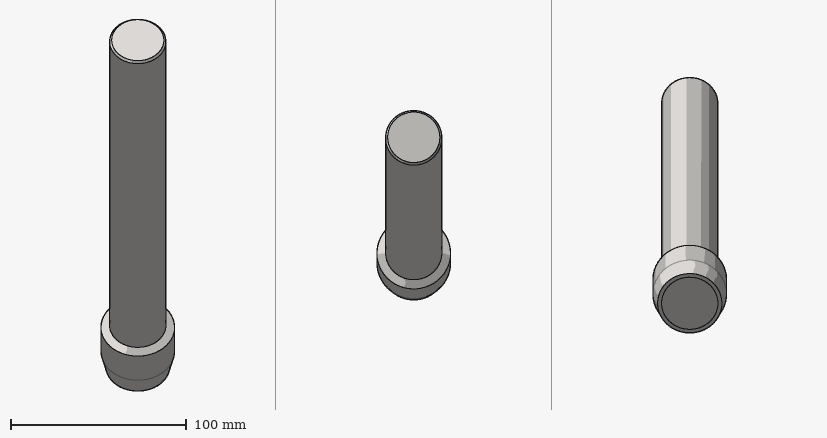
import cadquery as cq

TOTAL_HEIGHT = 300.0
ROD_DIAMETER = 32.0
ROD_TOP_CHAMFER = 1.2

COLLAR_DIAMETER = 42.0
COLLAR_RIM_HEIGHT = 35.7
COLLAR_HEIGHT = 37.5
TAPER_HEIGHT = 13.5
TAPER_END_DIAMETER = 36.5


def make_rod():
    """Plain round rod with a chamfered top edge, running the full height."""
    rod = cq.Workplane("XY").circle(ROD_DIAMETER / 2).extrude(TOTAL_HEIGHT)
    return rod.faces(">Z").chamfer(ROD_TOP_CHAMFER)


def make_collar():
    """Sleeve around the rod: tapered at the bottom, its top sloping up to the bore."""
    bore_radius = ROD_DIAMETER / 2
    outer_radius = COLLAR_DIAMETER / 2
    profile = (
        cq.Workplane("XZ")
        .moveTo(bore_radius, 0)
        .lineTo(TAPER_END_DIAMETER / 2, 0)
        .lineTo(outer_radius, TAPER_HEIGHT)
        .lineTo(outer_radius, COLLAR_RIM_HEIGHT)
        .lineTo(bore_radius, COLLAR_HEIGHT)
        .close()
    )
    return profile.revolve(360, (0, 0, 0), (0, 1, 0))


rod = make_rod()
collar = make_collar()

result = cq.Compound.makeCompound([rod.val(), collar.val()])